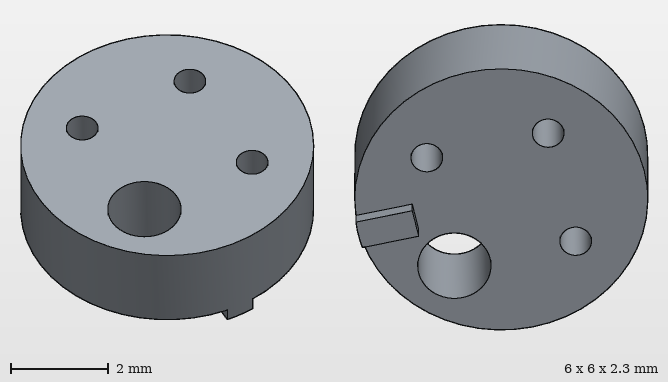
import cadquery as cq

disc_diameter = 6.0
disc_height = 2.0

key_length = 1.2
key_width = 0.6
key_height = 0.3

hole_circle_radius = 1.8
small_hole_diameter = 0.65
large_hole_diameter = 1.5
small_hole_angles = (45, 135, 225)
large_hole_angle = 315


def make_round(height):
    """Full-diameter cylinder with its seam on -X, away from the key."""
    cylinder = cq.Workplane("XY").circle(disc_diameter / 2).extrude(height)
    return cylinder.rotate((0, 0, 0), (0, 0, 1), 180)


def make_key():
    """Rectangular bar whose outer end follows the rim of the disc."""
    bar = (
        cq.Workplane("XY")
        .center(disc_diameter / 2 - key_length / 2, 0)
        .rect(key_length, key_width)
        .extrude(-key_height)
    )
    return bar.intersect(make_round(-key_height))


def make_hole(angle, diameter):
    """Cutter through the disc on the hole circle."""
    return (
        cq.Workplane("XY")
        .polarArray(hole_circle_radius, angle, 360, 1)
        .circle(diameter / 2)
        .extrude(disc_height)
    )


body = make_round(disc_height)
for small_hole_angle in small_hole_angles:
    body = body.cut(make_hole(small_hole_angle, small_hole_diameter))
body = body.cut(make_hole(large_hole_angle, large_hole_diameter))

result = body.union(make_key())